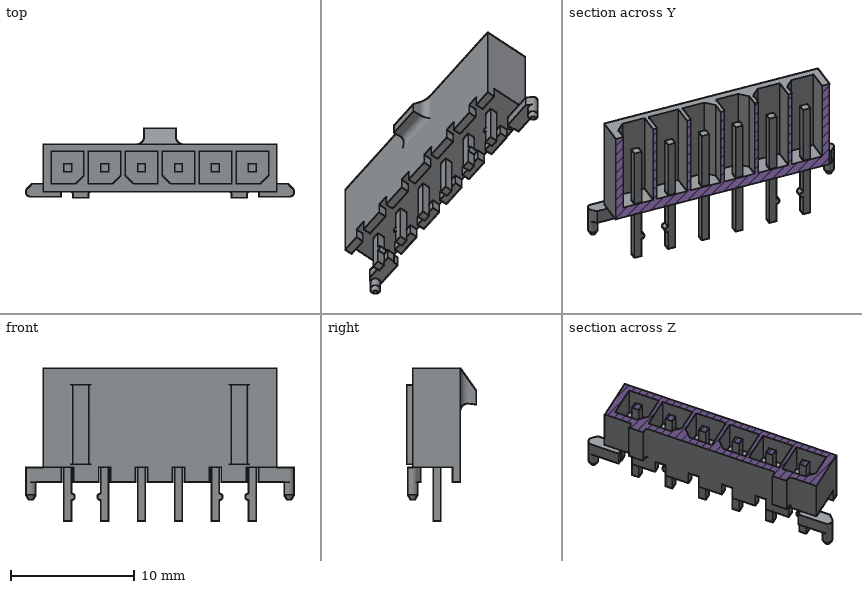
import cadquery as cq
import math

pin_count = 6
pitch = 3.0

body_width = 19.0
body_depth = 3.87
body_offset = -0.03
body_top = 9.25
body_bottom = 1.18

skirt_thickness = 0.66
notch_width = 0.94

pocket_size = 2.64
pocket_floor = 2.2
pocket_corner = 0.68

pin_size = 0.64
pin_tip = 7.25
pin_end = -3.17
kink_radius = 0.27
kink_height = -1.2

rib_spacing = 12.88
rib_width = 1.29
rib_height = 0.5
rib_fillet = 0.18
rib_bottom = 1.43
rib_top = 7.88

latch_width = 2.6
latch_reach = 1.3
latch_fillet = 0.6
latch_ramp_drop = 1.83
latch_hook_drop = 2.97
latch_underside_drop = 2.89

peg_radius = 0.41
peg_tip_radius = 0.17
peg_cone_top = -1.05
peg_end = -1.46
ear_span = 21.8
ear_inner_gap = 0.07

front_y = body_offset - body_depth / 2
rear_y = body_offset + body_depth / 2
skirt_inner_y = front_y + skirt_thickness
pin_xs = [(i - (pin_count - 1) / 2) * pitch for i in range(pin_count)]
peg_x = ear_span / 2 - peg_radius
ear_inner_x = pin_xs[-1] + notch_width / 2 + ear_inner_gap

pocket_corners = [1, 1, -1, -1, 0, 1]
pin_kinks = [1, -1, 0, 0, 1, -1]


def box(x_min, x_max, y_min, y_max, z_min, z_max):
    """Axis-aligned block between two opposite corners."""
    size = (x_max - x_min, y_max - y_min, z_max - z_min)
    return cq.Workplane("XY").box(*size, centered=False).translate((x_min, y_min, z_min))


def make_housing():
    """Block standing on a front and a rear skirt, both notched at every pin."""
    half_width = body_width / 2
    housing = box(-half_width, half_width, front_y, rear_y, 0, body_top)
    channel = box(-half_width, half_width, skirt_inner_y, rear_y - skirt_thickness, 0, body_bottom)
    housing = housing.cut(channel)
    half_notch = notch_width / 2
    for x in pin_xs:
        housing = housing.cut(box(x - half_notch, x + half_notch, front_y, rear_y, 0, body_bottom))
    return housing


def make_pocket(x, corner_side):
    """Square cavity, open at the top, with an optional bevel on one front corner."""
    half = pocket_size / 2
    pocket = box(-half, half, -half, half, pocket_floor, body_top)
    if corner_side:
        side = ">X" if corner_side > 0 else "<X"
        pocket = pocket.faces(side).edges("|Z and <Y").chamfer(pocket_corner)
    return pocket.translate((x, 0, 0))


def make_pin(x, kink_side):
    """Square pin; a kinked pin has a half-round bump on one side."""
    half = pin_size / 2
    pin = box(-half, half, -half, half, pin_end, pin_tip)
    if kink_side:
        bump = (
            cq.Workplane("XZ")
            .center(kink_side * half, kink_height)
            .circle(kink_radius)
            .extrude(half, both=True)
        )
        pin = pin.union(bump)
    return pin.translate((x, 0, 0))


def make_rib(x):
    """Upright rib on the front face, flared by a concave fillet along each side."""
    half = rib_width / 2
    flare = half + rib_fillet
    mid = rib_fillet * (1 - math.sqrt(0.5))
    return (
        cq.Workplane("XY", origin=(x, front_y, rib_bottom))
        .moveTo(-flare, 0)
        .threePointArc((-half - mid, -mid), (-half, -rib_fillet))
        .lineTo(-half, -rib_height)
        .lineTo(half, -rib_height)
        .lineTo(half, -rib_fillet)
        .threePointArc((half + mid, -mid), (flare, 0))
        .close()
        .extrude(rib_top - rib_bottom)
    )


def make_latch():
    """Ramped hook on the rear face with an undercut underside, blended into the face by fillets."""
    half = latch_width / 2
    flare = half + latch_fillet
    mid = latch_fillet * (1 - math.sqrt(0.5))
    plan = (
        cq.Workplane("XY", origin=(0, rear_y, 0))
        .moveTo(-flare, 0)
        .threePointArc((-half - mid, mid), (-half, latch_fillet))
        .lineTo(-half, latch_reach)
        .lineTo(half, latch_reach)
        .lineTo(half, latch_fillet)
        .threePointArc((half + mid, mid), (flare, 0))
        .close()
        .extrude(body_top)
    )
    profile = (
        cq.Workplane("YZ", origin=(0, rear_y, body_top))
        .lineTo(latch_reach, -latch_ramp_drop)
        .lineTo(latch_reach, -latch_hook_drop)
        .lineTo(latch_fillet, -latch_underside_drop)
        .threePointArc((mid, -latch_underside_drop - mid), (0, -latch_underside_drop - latch_fillet))
        .close()
        .extrude(flare, both=True)
    )
    return plan.intersect(profile)


def make_right_ear():
    """Ear on the front skirt that ends in a round board peg with a conical tip."""
    diagonal = peg_radius * math.sqrt(0.5)
    bevel_x = peg_x + diagonal
    bevel_y = front_y + diagonal
    mid_angle = math.radians((-90 + 45) / 2)
    ear = (
        cq.Workplane("XY")
        .moveTo(ear_inner_x, front_y - peg_radius)
        .lineTo(peg_x, front_y - peg_radius)
        .threePointArc(
            (peg_x + peg_radius * math.cos(mid_angle), front_y + peg_radius * math.sin(mid_angle)),
            (bevel_x, bevel_y),
        )
        .lineTo(bevel_x - (skirt_inner_y - bevel_y), skirt_inner_y)
        .lineTo(ear_inner_x, skirt_inner_y)
        .close()
        .extrude(body_bottom)
    )
    peg = (
        cq.Workplane("XZ", origin=(peg_x, front_y, 0))
        .moveTo(0, body_bottom)
        .lineTo(peg_radius, body_bottom)
        .lineTo(peg_radius, peg_cone_top)
        .lineTo(peg_tip_radius, peg_end)
        .lineTo(0, peg_end)
        .close()
        .revolve(360, (0, 0, 0), (0, 1, 0))
    )
    return ear.union(peg)


result = make_housing()

for pin_x, corner in zip(pin_xs, pocket_corners):
    result = result.cut(make_pocket(pin_x, corner))

for pin_x, kink in zip(pin_xs, pin_kinks):
    result = result.union(make_pin(pin_x, kink))

for rib_side in (-1, 1):
    result = result.union(make_rib(rib_side * rib_spacing / 2))

result = result.union(make_latch())

right_ear = make_right_ear()
result = result.union(right_ear).union(right_ear.mirror("YZ"))